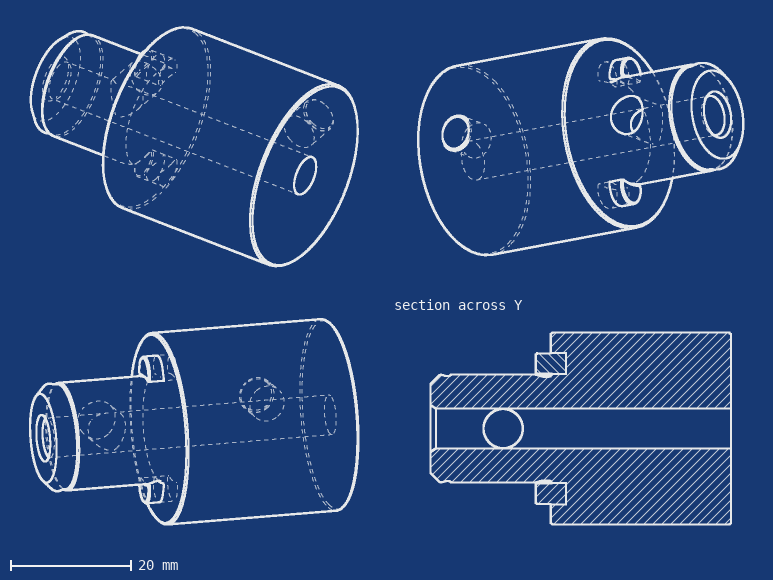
import cadquery as cq
import math

TOTAL_LENGTH = 50.0
SHANK_LENGTH = 20.0
SHANK_RADIUS = 9.0
BODY_RADIUS = 16.0
BODY_CHAMFER = 0.3

BORE_RADIUS = 3.3
BORE_CHAMFER_LENGTH = 0.9
BORE_CHAMFER_WIDTH = 0.6

LEAD_IN_LENGTH = 1.45
LEAD_IN_ANGLE = math.radians(45)
LEAD_IN_BLEND_RADIUS = 0.45

TAPER_ANGLE = math.radians(15)
RELIEF_BLEND_RADIUS = 0.6

TIP_RELIEF_START = 1.8
TIP_RELIEF_TAPER_LENGTH = 0.8
TIP_RELIEF_FLOOR_END = 3.15
TIP_RELIEF_END = 3.45

ROOT_RELIEF_START = 17.5
ROOT_RELIEF_TAPER_LENGTH = 1.2
ROOT_RELIEF_FLOOR_END = 19.6
FACE_RELIEF_RADIUS = 10.7

CROSS_HOLE_X = 12.1
CROSS_HOLE_RADIUS = 3.25

KEY_ANGLES = (0, 180)
KEY_RADIUS = 2.75
KEY_CENTER_HEIGHT = 9.8
KEY_SHANK_CLEARANCE = 0.1
KEY_CORNER_RADIUS = 0.5
KEY_PROJECTION = 2.5
KEY_EMBEDDED_DEPTH = 2.5
KEY_CHAMFER_LENGTH = 0.25
KEY_CHAMFER_WIDTH = 0.2

PLUG_X = 42.1
PLUG_RADIUS = 3.0
PLUG_LENGTH = 6.0
PLUG_CHAMFER = 0.3


def draw_taper_and_blend(profile, start_x, taper_length):
    """Draw a taper inward from the shank surface, rounded tangent to the relief floor.

    Returns the longer profile and the radius of the floor.
    """
    taper_end_x = start_x + taper_length
    taper_end_radius = SHANK_RADIUS - taper_length * math.tan(TAPER_ANGLE)
    floor_x = taper_end_x + RELIEF_BLEND_RADIUS * math.sin(TAPER_ANGLE)
    floor_radius = taper_end_radius - RELIEF_BLEND_RADIUS * (1 - math.cos(TAPER_ANGLE))
    profile = (
        profile.lineTo(start_x, SHANK_RADIUS)
        .lineTo(taper_end_x, taper_end_radius)
        .tangentArcPoint((floor_x, floor_radius), relative=False)
    )
    return profile, floor_radius


def draw_lead_in(profile):
    """Draw the tip face, the conical lead-in and its blend into the shank."""
    blend_end_x = LEAD_IN_LENGTH + LEAD_IN_BLEND_RADIUS * math.sin(LEAD_IN_ANGLE)
    cone_end_radius = SHANK_RADIUS - LEAD_IN_BLEND_RADIUS * (1 - math.cos(LEAD_IN_ANGLE))
    tip_radius = cone_end_radius - LEAD_IN_LENGTH * math.tan(LEAD_IN_ANGLE)
    return (
        profile.lineTo(0, tip_radius)
        .lineTo(LEAD_IN_LENGTH, cone_end_radius)
        .tangentArcPoint((blend_end_x, SHANK_RADIUS), relative=False)
    )


def draw_root_relief(profile):
    """Draw the undercut at the root of the shank, which also dishes the body face."""
    profile, floor_radius = draw_taper_and_blend(profile, ROOT_RELIEF_START, ROOT_RELIEF_TAPER_LENGTH)

    fillet_end_x = ROOT_RELIEF_FLOOR_END + RELIEF_BLEND_RADIUS
    fillet_end_radius = floor_radius + RELIEF_BLEND_RADIUS
    return (
        profile.lineTo(ROOT_RELIEF_FLOOR_END, floor_radius)
        .tangentArcPoint((fillet_end_x, fillet_end_radius), relative=False)
        .lineTo(SHANK_LENGTH, FACE_RELIEF_RADIUS)
    )


def make_turned_blank():
    """Revolve the shank, body and bore in one piece."""
    profile = cq.Workplane("XZ").moveTo(0, BORE_RADIUS + BORE_CHAMFER_WIDTH)
    profile = draw_lead_in(profile)
    profile, floor_radius = draw_taper_and_blend(profile, TIP_RELIEF_START, TIP_RELIEF_TAPER_LENGTH)
    profile = profile.lineTo(TIP_RELIEF_FLOOR_END, floor_radius).lineTo(TIP_RELIEF_END, SHANK_RADIUS)
    profile = draw_root_relief(profile)
    profile = (
        profile.lineTo(SHANK_LENGTH, BODY_RADIUS - BODY_CHAMFER)
        .lineTo(SHANK_LENGTH + BODY_CHAMFER, BODY_RADIUS)
        .lineTo(TOTAL_LENGTH - BODY_CHAMFER, BODY_RADIUS)
        .lineTo(TOTAL_LENGTH, BODY_RADIUS - BODY_CHAMFER)
        .lineTo(TOTAL_LENGTH, BORE_RADIUS)
        .lineTo(BORE_CHAMFER_LENGTH, BORE_RADIUS)
        .close()
    )
    return profile.revolve(360, (0, 0, 0), (1, 0, 0))


def make_radial_cylinder(x, radius, inner_y, outer_y):
    """Make a cylinder along Y at the given X."""
    length = outer_y - inner_y
    return cq.Workplane(cq.Solid.makeCylinder(radius, length, cq.Vector(x, inner_y, 0), cq.Vector(0, 1, 0)))


def make_drive_key(angle):
    """Make a round key hollowed to clear the shank, turned about X by the angle."""
    length = KEY_PROJECTION + KEY_EMBEDDED_DEPTH
    start_x = SHANK_LENGTH - KEY_PROJECTION
    key = (
        cq.Workplane("YZ", origin=(start_x, 0, 0))
        .center(0, KEY_CENTER_HEIGHT)
        .circle(KEY_RADIUS)
        .extrude(length)
    )
    shank_clearance = (
        cq.Workplane("YZ", origin=(start_x, 0, 0))
        .circle(SHANK_RADIUS + KEY_SHANK_CLEARANCE)
        .extrude(length)
    )
    key = key.cut(shank_clearance)
    inner_side = cq.selectors.BoxSelector(
        (start_x, -KEY_RADIUS, 0), (start_x + length, KEY_RADIUS, SHANK_RADIUS)
    )
    key = key.edges(inner_side).edges("|X").fillet(KEY_CORNER_RADIUS)
    key = key.faces("<X").chamfer(KEY_CHAMFER_LENGTH, KEY_CHAMFER_WIDTH)
    return key.rotate((0, 0, 0), (1, 0, 0), angle)


def make_plug():
    """Make the cylindrical plug, its outer end flat and chamfered so the rim meets the body surface."""
    plug = make_radial_cylinder(PLUG_X, PLUG_RADIUS, BODY_RADIUS - PLUG_LENGTH, BODY_RADIUS)
    return plug.faces(">Y").chamfer(PLUG_CHAMFER)


def make_adapter(keys, plug):
    """Make the adapter, with the cross hole and a matching seat for each key and the plug."""
    adapter = make_turned_blank()
    adapter = adapter.cut(make_radial_cylinder(CROSS_HOLE_X, CROSS_HOLE_RADIUS, 0, SHANK_RADIUS))
    for key in keys:
        adapter = adapter.cut(key)
    return adapter.cut(plug)


drive_keys = [make_drive_key(angle) for angle in KEY_ANGLES]
plug = make_plug()
adapter = make_adapter(drive_keys, plug)

result = cq.Compound.makeCompound(
    [adapter.solids().val(), *[key.solids().val() for key in drive_keys], plug.solids().val()]
)